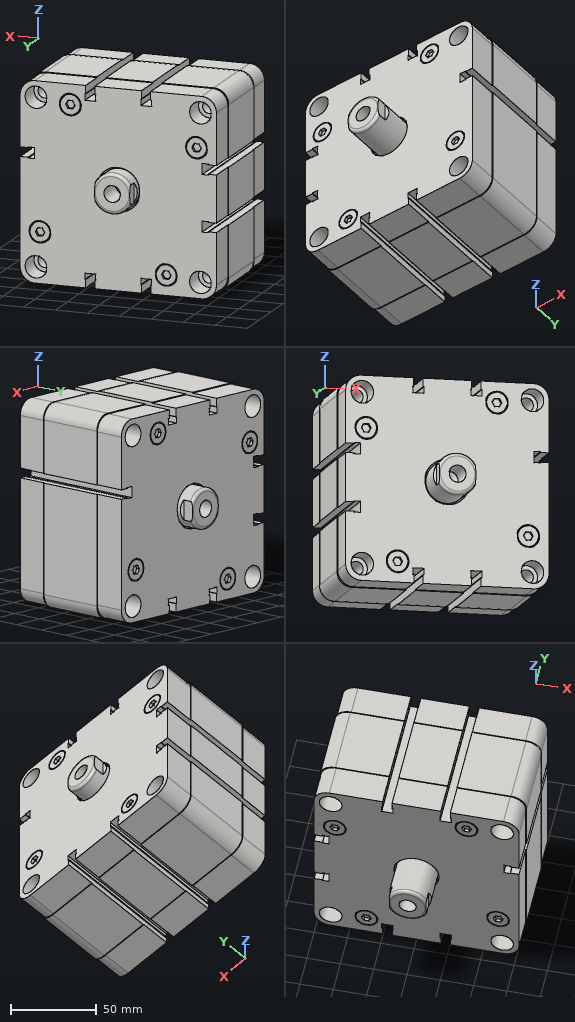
import cadquery as cq
import math

barrel_side = 124.0
cap_side = 123.0
corner_radius = 9.3
barrel_length = 42.9
cap_length = 19.2
body_length = barrel_length + 2 * cap_length

slot_offset = 17.5
slot_neck_width = 5.7
slot_foot_width = 6.7
slot_neck_depth = 5.7
slot_depth = 9.5

corner_hole_offset = 51.5
corner_hole_diameter = 8.4
corner_bore_diameter = 13.5
corner_bore_depth = 15.0

screw_long_offset = 49.0
screw_short_offset = 30.0
screw_recess_diameter = 13.5
screw_head_diameter = 12.5
screw_gap_depth = 2.0
socket_across_flats = 5.0
socket_depth = 2.0

rod_diameter = 25.0
rod_bore_diameter = 27.0
rod_gap_depth = 2.0
front_rod_length = 25.0
overall_length = 116.5
rear_rod_length = overall_length - body_length - front_rod_length
rod_end_fillet = 2.0
flats_width = 22.0
flats_length = 7.1
thread_hole_diameter = 10.2
thread_hole_depth = 19.8
drill_point_angle = 118.0

front_face = -body_length / 2
rear_face = body_length / 2
front_tip = front_face - front_rod_length
rear_tip = rear_face + rear_rod_length


def plane_at(y):
    """Work plane facing -Y whose local axes are the part's X and Z."""
    return cq.Workplane("XZ", origin=(0, y, 0))


def cylinder(diameter, y_start, y_end):
    return plane_at(y_end).circle(diameter / 2).extrude(y_end - y_start)


def rounded_block(side, y_start, y_end):
    block = plane_at(y_end).rect(side, side).extrude(y_end - y_start)
    return block.edges("|Y").fillet(corner_radius)


def make_body():
    front_cap = rounded_block(cap_side, front_face, front_face + cap_length)
    barrel = rounded_block(barrel_side, front_face + cap_length, rear_face - cap_length)
    rear_cap = rounded_block(cap_side, rear_face - cap_length, rear_face)
    return front_cap.union(barrel).union(rear_cap)


def make_slot():
    """T-slot opening at the +Z side, to the right of the middle."""
    surface = barrel_side / 2
    neck = plane_at(rear_face).center(slot_offset, surface - slot_neck_depth / 2)
    neck = neck.rect(slot_neck_width, slot_neck_depth).extrude(body_length)
    foot_height = slot_depth - slot_neck_depth
    foot = plane_at(rear_face).center(slot_offset, surface - slot_depth + foot_height / 2)
    foot = foot.rect(slot_foot_width, foot_height).extrude(body_length)
    return neck.union(foot)


def make_slots():
    """Two slots on every side except +X, which has only the upper one."""
    right_slot = make_slot()
    left_slot = right_slot.mirror("YZ")
    slots = right_slot.union(left_slot)
    for turn in (90, 180):
        for slot in (right_slot, left_slot):
            slots = slots.union(slot.rotate((0, 0, 0), (0, 1, 0), turn * -1))
    return slots.union(left_slot.rotate((0, 0, 0), (0, 1, 0), 90))


def make_corner_holes():
    pitch = 2 * corner_hole_offset
    holes = plane_at(rear_face).rect(pitch, pitch, forConstruction=True).vertices()
    holes = holes.circle(corner_hole_diameter / 2).extrude(body_length)
    for y in (front_face + corner_bore_depth, rear_face):
        bores = plane_at(y).rect(pitch, pitch, forConstruction=True).vertices()
        holes = holes.union(bores.circle(corner_bore_diameter / 2).extrude(corner_bore_depth))
    return holes


def make_screw_cuts():
    """Ring gap and hex socket of each screw, on both end faces."""
    places = [
        (-screw_long_offset, screw_short_offset),
        (screw_short_offset, screw_long_offset),
        (screw_long_offset, -screw_short_offset),
        (-screw_short_offset, -screw_long_offset),
    ]
    socket_corners = socket_across_flats / math.cos(math.pi / 6)
    gaps = plane_at(front_face + screw_gap_depth).pushPoints(places)
    gaps = gaps.circle(screw_recess_diameter / 2).circle(screw_head_diameter / 2)
    gaps = gaps.extrude(screw_gap_depth)
    sockets = plane_at(front_face + socket_depth).pushPoints(places)
    sockets = sockets.polygon(6, socket_corners).extrude(socket_depth)
    front_cuts = gaps.union(sockets)
    return front_cuts.union(front_cuts.mirror("XZ"))


def make_rod():
    rod = cylinder(rod_diameter, front_tip, rear_tip)
    return rod.faces("<Y or >Y").edges().fillet(rod_end_fillet)


def make_rod_gaps():
    front = cylinder(rod_bore_diameter, front_face, front_face + rod_gap_depth)
    front = front.cut(cylinder(rod_diameter, front_face, front_face + rod_gap_depth))
    return front.union(front.mirror("XZ"))


def make_flat_cut(tip, inward):
    """Material beside the two wrench flats at a rod tip, ending in a 45 degree run-out."""
    inner = flats_width / 2
    outer = rod_diameter / 2
    flat_end = tip + inward * flats_length
    runout_end = flat_end + inward * (outer - inner)
    outline = [(inner, tip), (outer, tip), (outer, runout_end), (inner, flat_end)]
    cut = cq.Workplane("XY").polyline(outline).close().extrude(rod_diameter / 2, both=True)
    return cut.union(cut.mirror("YZ"))


def make_thread_hole(tip, inward):
    """Blind drilled hole in a rod tip with a conical bottom."""
    radius = thread_hole_diameter / 2
    point_height = radius / math.tan(math.radians(drill_point_angle / 2))
    shoulder = tip + inward * thread_hole_depth
    apex = shoulder + inward * point_height
    outline = [(0, tip), (radius, tip), (radius, shoulder), (0, apex)]
    return cq.Workplane("XY").polyline(outline).close().revolve(360, (0, 0, 0), (0, 1, 0))


result = make_body().cut(make_slots()).cut(make_corner_holes()).cut(make_screw_cuts())
result = result.union(make_rod()).cut(make_rod_gaps())
for tip, inward in ((front_tip, 1), (rear_tip, -1)):
    result = result.cut(make_flat_cut(tip, inward)).cut(make_thread_hole(tip, inward))